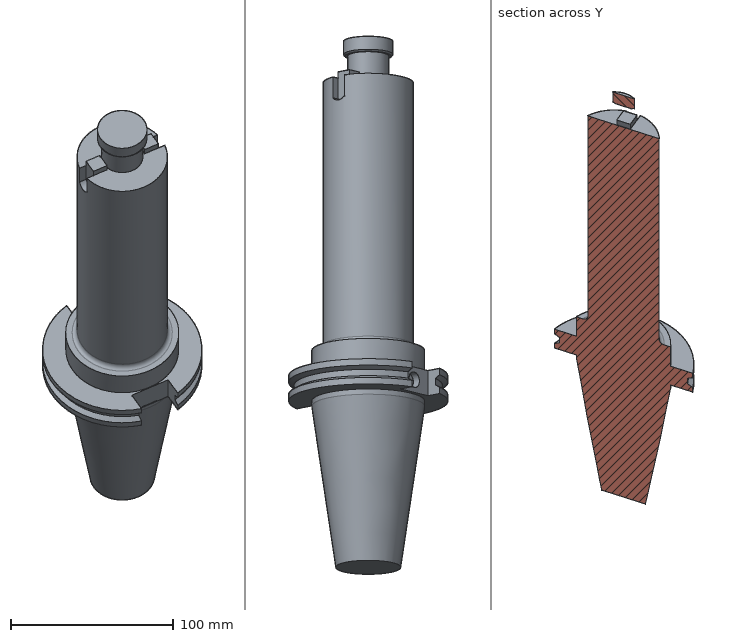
import cadquery as cq
import math

OVERALL_HEIGHT = 331.5
TAPER_LENGTH = 101.5
GAUGE_BAND_HEIGHT = 3.3
FLANGE_HEIGHT = 16.0
COLLAR_HEIGHT = 16.0
BODY_TOP = 305.5
CAP_HEIGHT = 9.3

FLANGE_BOTTOM = TAPER_LENGTH + GAUGE_BAND_HEIGHT
FLANGE_TOP = FLANGE_BOTTOM + FLANGE_HEIGHT
FLANGE_MIDDLE = (FLANGE_BOTTOM + FLANGE_TOP) / 2
COLLAR_TOP = FLANGE_TOP + COLLAR_HEIGHT
PILOT_TOP = OVERALL_HEIGHT - CAP_HEIGHT

GAUGE_RADIUS = 34.8
TAPER_RATIO = 7 / 24
TAPER_END_RADIUS = GAUGE_RADIUS - TAPER_LENGTH * TAPER_RATIO / 2
FLANGE_RADIUS = 49.0
BODY_RADIUS = 28.0
BODY_FILLET = 3.0
PILOT_RADIUS = 25.5 / 2
CAP_RADIUS = 15.3
CAP_CHAMFER = 1.0

GROOVE_DEPTH = 3.3
GROOVE_FLANK_ANGLE = 30.0
GROOVE_ROOT_WIDTH = 4.0
GROOVE_MOUTH_WIDTH = GROOVE_ROOT_WIDTH + 2 * GROOVE_DEPTH * math.tan(math.radians(GROOVE_FLANK_ANGLE))
GROOVE_ROOT_RADIUS = FLANGE_RADIUS - GROOVE_DEPTH

NOTCH_WIDTH = 25.5
SHALLOW_NOTCH_FLOOR = 37.8
DEEP_NOTCH_FLOOR = 35.0
DIMPLE_DIAMETER = 9.5
DIMPLE_DEPTH = 5.0

KEY_WIDTH = 9.3
KEY_PROJECTION = 4.0
KEY_SLOT_DEPTH = 15.3
KEY_SLOT_FLOOR_RISE = 2.0
KEY_OUTER_END = 23.0
KEY_INNER_END = 13.3
KEY_SLOT_BOTTOM = BODY_TOP - KEY_SLOT_DEPTH
KEY_TOP = BODY_TOP + KEY_PROJECTION
KEY_DIRECTIONS = (-1, 1)


def turned_holder():
    """Taper, flange, collar, body and pilot as one revolved solid."""
    fillet_middle = BODY_FILLET * (1 - math.sqrt(0.5))
    groove_bottom = FLANGE_MIDDLE - GROOVE_MOUTH_WIDTH / 2
    groove_top = FLANGE_MIDDLE + GROOVE_MOUTH_WIDTH / 2
    root_bottom = FLANGE_MIDDLE - GROOVE_ROOT_WIDTH / 2
    root_top = FLANGE_MIDDLE + GROOVE_ROOT_WIDTH / 2
    return (
        cq.Workplane("XZ")
        .moveTo(0, 0)
        .lineTo(TAPER_END_RADIUS, 0)
        .lineTo(GAUGE_RADIUS, TAPER_LENGTH)
        .lineTo(GAUGE_RADIUS, FLANGE_BOTTOM)
        .lineTo(FLANGE_RADIUS, FLANGE_BOTTOM)
        .lineTo(FLANGE_RADIUS, groove_bottom)
        .lineTo(GROOVE_ROOT_RADIUS, root_bottom)
        .lineTo(GROOVE_ROOT_RADIUS, root_top)
        .lineTo(FLANGE_RADIUS, groove_top)
        .lineTo(FLANGE_RADIUS, FLANGE_TOP)
        .lineTo(GAUGE_RADIUS, FLANGE_TOP)
        .lineTo(GAUGE_RADIUS, COLLAR_TOP)
        .lineTo(BODY_RADIUS + BODY_FILLET, COLLAR_TOP)
        .threePointArc(
            (BODY_RADIUS + fillet_middle, COLLAR_TOP + fillet_middle),
            (BODY_RADIUS, COLLAR_TOP + BODY_FILLET),
        )
        .lineTo(BODY_RADIUS, BODY_TOP)
        .lineTo(PILOT_RADIUS, BODY_TOP)
        .lineTo(PILOT_RADIUS, PILOT_TOP)
        .lineTo(0, PILOT_TOP)
        .close()
        .revolve(360, (0, 0, 0), (0, 1, 0))
    )


def drive_notch(direction, floor_distance):
    """Cutter for one flange notch, open to the outside along X."""
    length = FLANGE_RADIUS - floor_distance
    center = direction * (floor_distance + length / 2)
    return (
        cq.Workplane("XY", origin=(center, 0, FLANGE_BOTTOM))
        .rect(length, NOTCH_WIDTH)
        .extrude(FLANGE_HEIGHT)
    )


def notch_dimple():
    """Cutter for the blind hole in the floor of the -X notch."""
    return (
        cq.Workplane("YZ", origin=(-SHALLOW_NOTCH_FLOOR, 0, FLANGE_MIDDLE))
        .circle(DIMPLE_DIAMETER / 2)
        .extrude(DIMPLE_DEPTH)
    )


def key_shape(direction, outer_end, top):
    """Round-bottomed bar along Y, from beside the pilot to outer_end."""
    half_width = KEY_WIDTH / 2
    side_bottom = KEY_SLOT_BOTTOM + KEY_SLOT_FLOOR_RISE
    bar = (
        cq.Workplane("XZ", origin=(0, -KEY_INNER_END, 0))
        .moveTo(-half_width, top)
        .lineTo(-half_width, side_bottom)
        .threePointArc((0, KEY_SLOT_BOTTOM), (half_width, side_bottom))
        .lineTo(half_width, top)
        .close()
        .extrude(outer_end - KEY_INNER_END)
    )
    return bar if direction < 0 else bar.mirror("XZ")


def make_holder():
    holder = turned_holder()
    holder = holder.cut(drive_notch(-1, SHALLOW_NOTCH_FLOOR))
    holder = holder.cut(drive_notch(1, DEEP_NOTCH_FLOOR))
    holder = holder.cut(notch_dimple())
    for direction in KEY_DIRECTIONS:
        holder = holder.cut(key_shape(direction, BODY_RADIUS, BODY_TOP))
    return holder


def make_drive_key(direction):
    return key_shape(direction, KEY_OUTER_END, KEY_TOP)


def make_end_cap():
    """Disc on the pilot, chamfered around its lower edge."""
    return (
        cq.Workplane("XY", origin=(0, 0, PILOT_TOP))
        .circle(CAP_RADIUS)
        .extrude(CAP_HEIGHT)
        .faces("<Z")
        .chamfer(CAP_CHAMFER)
    )


holder = make_holder()
drive_keys = [make_drive_key(direction) for direction in KEY_DIRECTIONS]
end_cap = make_end_cap()

result = cq.Compound.makeCompound([holder.val(), *[key.val() for key in drive_keys], end_cap.val()])